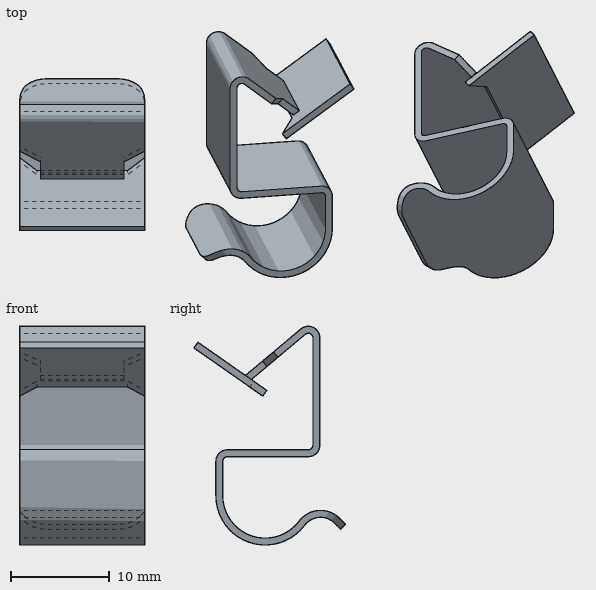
import cadquery as cq
import math

width = 12.7
thickness = 0.72
inner_bend_radius = 0.46

tip_angle = 45.0
tip_length = 0.88
tip_corner_radius = 2.75
crest_inner_radius = 2.0
seat_inner_radius = 4.28
seat_join_angle = 53.2

wall_length = 3.48
box_depth = 10.55
spine_height = 12.50

arm_slope = 40.0
arm_full_length = 3.63
arm_taper_length = 1.44
arm_neck_length = 2.25
arm_neck_width = 8.45

blade_slope = 35.0
blade_length = 8.52
blade_reach = 5.87
notch_depth = 1.62
notch_inset = 1.77

outer_bend_radius = inner_bend_radius + thickness
shelf_length = box_depth - 2 * outer_bend_radius
spine_length = spine_height - inner_bend_radius - outer_bend_radius
arm_length = arm_full_length + arm_taper_length + arm_neck_length
arm_overlap = thickness / 4


def unit(angle):
    """Unit (y, z) vector at an angle in degrees from +Y towards +Z."""
    return (math.cos(math.radians(angle)), math.sin(math.radians(angle)))


def move(point, angle, distance):
    """Point reached from (y, z) by going a distance at an angle."""
    dy, dz = unit(angle)
    return (point[0] + distance * dy, point[1] + distance * dz)


def straight(start, heading, length):
    """Flat stretch of sheet: its solid and the middle point of its far end."""
    end = move(start, heading, length)
    half = thickness / 2
    corners = [
        move(start, heading - 90, half),
        move(end, heading - 90, half),
        move(end, heading + 90, half),
        move(start, heading + 90, half),
    ]
    solid = cq.Workplane("YZ").polyline(corners).close().extrude(width / 2, both=True)
    return solid, end


def bend(start, heading, inner_radius, turn):
    """Bent stretch of sheet turning left for a positive angle: solid, end point, end heading."""
    side = math.copysign(90, turn)
    outer_radius = inner_radius + thickness
    centre = move(start, heading + side, inner_radius + thickness / 2)
    first = heading - side
    middle = first + turn / 2
    last = first + turn
    solid = (
        cq.Workplane("YZ")
        .moveTo(*move(centre, first, inner_radius))
        .threePointArc(move(centre, middle, inner_radius), move(centre, last, inner_radius))
        .lineTo(*move(centre, last, outer_radius))
        .threePointArc(move(centre, middle, outer_radius), move(centre, first, outer_radius))
        .close()
        .extrude(width / 2, both=True)
    )
    return solid, move(centre, last, inner_radius + thickness / 2), heading + turn


def sheet_frame(point, heading):
    """Workplane on the sheet: local x runs along the heading, local y along X."""
    dy, dz = unit(heading)
    plane = cq.Plane(origin=(0, *point), xDir=(0, dy, dz), normal=(0, dz, -dy))
    return cq.Workplane(plane)


def tip_corner_cutter(tip, heading, side):
    """Material outside the rounded tip corner on one side (+1 or -1)."""
    radius = tip_corner_radius
    edge = side * width / 2
    inner = edge - side * radius
    diagonal = radius * math.sqrt(0.5)
    return (
        sheet_frame(tip, heading)
        .moveTo(0, inner)
        .threePointArc((radius - diagonal, inner + side * diagonal), (radius, edge))
        .lineTo(0, edge)
        .close()
        .extrude(2 * crest_inner_radius, both=True)
    )


def arm_side_cutter(start, heading, side):
    """Material removed beside the tapered neck of the arm on one side (+1 or -1)."""
    edge = side * width / 2
    neck = side * arm_neck_width / 2
    end = arm_length + arm_overlap
    outline = [
        (arm_full_length, edge),
        (arm_full_length + arm_taper_length, neck),
        (end, neck),
        (end, edge),
    ]
    return sheet_frame(start, heading).polyline(outline).close().extrude(thickness, both=True)


def make_hook(tip, heading):
    """Tip, crest and seat: solid with rounded tip corners, end point, end heading."""
    flat, point = straight(tip, heading, tip_length)
    crest, point, turned = bend(point, heading, crest_inner_radius, tip_angle + seat_join_angle)
    hook = flat.union(crest)
    for side in (-1, 1):
        hook = hook.cut(tip_corner_cutter(tip, heading, side))
    seat, point, turned = bend(point, turned, seat_inner_radius, -(seat_join_angle + 90))
    return hook.union(seat), point, turned


def make_body(start, heading):
    """Front wall, shelf, spine and the three bends after them."""
    wall, point = straight(start, heading, wall_length)
    wall_bend, point, heading = bend(point, heading, inner_bend_radius, -90)
    shelf, point = straight(point, heading, shelf_length)
    shelf_bend, point, heading = bend(point, heading, inner_bend_radius, 90)
    spine, point = straight(point, heading, spine_length)
    top_bend, point, heading = bend(point, heading, inner_bend_radius, 90 + arm_slope)
    body = wall.union(wall_bend).union(shelf).union(shelf_bend).union(spine).union(top_bend)
    return body, point, heading


def make_arm(start, heading):
    """Sloping arm with its tapered neck."""
    arm, _ = straight(start, heading, arm_length + arm_overlap)
    for side in (-1, 1):
        arm = arm.cut(arm_side_cutter(start, heading, side))
    return arm


def make_blade(joint):
    """Notched plate whose upper face passes through the joint."""
    heading = 180 - blade_slope
    rear = blade_reach - blade_length
    half = width / 2
    notch_half = half - notch_inset
    outline = [
        (blade_reach, -half),
        (blade_reach, half),
        (rear, half),
        (rear + notch_depth, notch_half),
        (rear + notch_depth, -notch_half),
        (rear, -half),
    ]
    return sheet_frame(joint, heading).polyline(outline).close().extrude(-thickness)


hook, wall_start, wall_heading = make_hook((0, 0), 180 - tip_angle)
body, arm_start, arm_heading = make_body(wall_start, wall_heading)
arm = make_arm(arm_start, arm_heading)
arm_top_end = move(move(arm_start, arm_heading, arm_length), arm_heading - 90, thickness / 2)
blade = make_blade(arm_top_end)

result = hook.union(body).union(arm).union(blade)